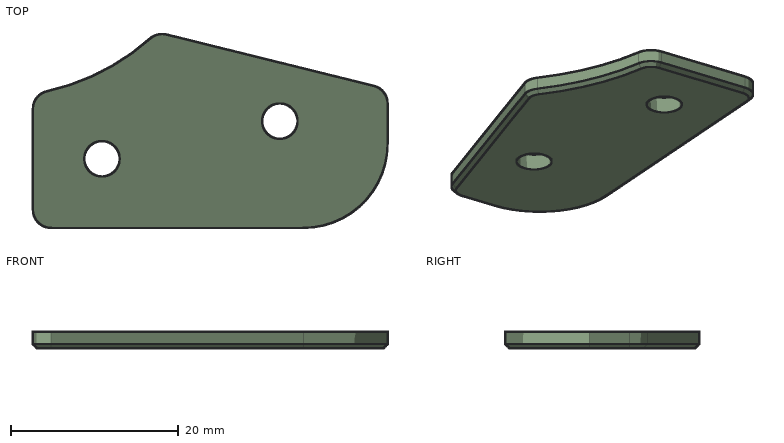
import cadquery as cq
import math

length = 42.4
thickness = 2.0
bottom_chamfer = 0.5

corner_radius = 2.2
nose_radius = 10.1
right_corner_y = 16.58
peak_x = 14.85
peak_y = 23.4

sweep_radius = 27.45
left_corner_y = 16.03

hole_diameter = 4.2
hole_centers = [(8.25, 8.25), (29.5, 12.75)]


def sweep_midpoint():
    """Middle point of the concave arc, bowed down and right from its chord."""
    rise = peak_y - left_corner_y
    chord = math.hypot(peak_x, rise)
    sagitta = sweep_radius - math.sqrt(sweep_radius**2 - (chord / 2) ** 2)
    x = peak_x / 2 + sagitta * rise / chord
    y = (left_corner_y + peak_y) / 2 - sagitta * peak_x / chord
    return x, y


def make_plate():
    """Plate with rounded corners and a chamfer around its bottom edge."""
    plate = (
        cq.Workplane("XY")
        .lineTo(length, 0)
        .lineTo(length, right_corner_y)
        .lineTo(peak_x, peak_y)
        .threePointArc(sweep_midpoint(), (0, left_corner_y))
        .close()
        .extrude(thickness)
    )
    nose = cq.selectors.NearestToPointSelector((length, 0, thickness / 2))
    plate = plate.edges(nose).fillet(nose_radius)

    margin = 0.42
    left_corners = cq.selectors.BoxSelector(
        (-margin, -margin, 0),
        (peak_x + margin, peak_y + margin, thickness),
    )
    right_corner = cq.selectors.NearestToPointSelector((length, right_corner_y, thickness / 2))
    plate = plate.edges("|Z").edges(left_corners).fillet(corner_radius)
    plate = plate.edges("|Z").edges(right_corner).fillet(corner_radius)
    return plate.faces("<Z").edges().chamfer(bottom_chamfer)


def make_holes():
    """Straight cutters for the through holes."""
    return cq.Workplane("XY").pushPoints(hole_centers).circle(hole_diameter / 2).extrude(thickness)


result = make_plate().cut(make_holes())